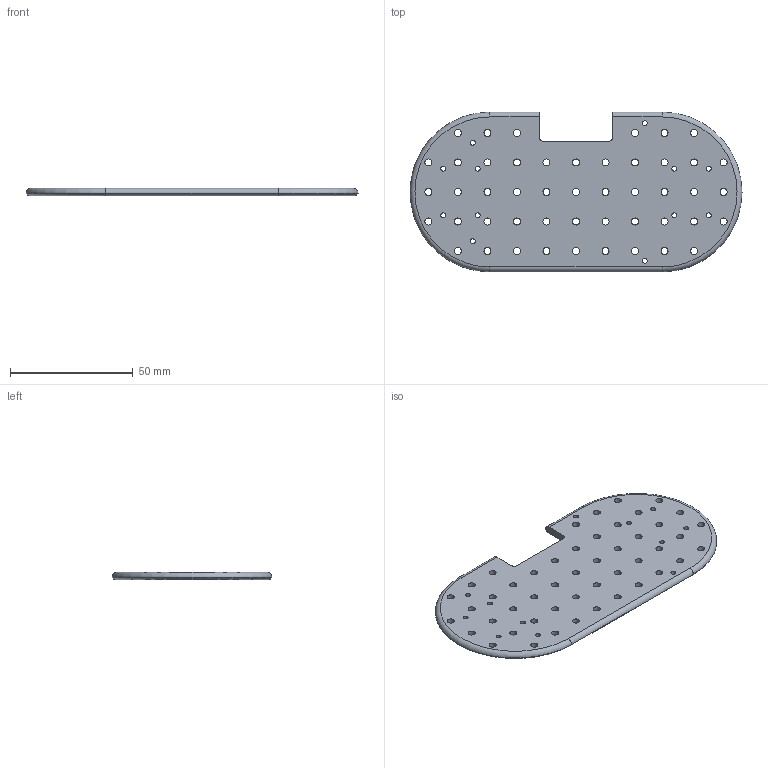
import cadquery as cq
import math

LENGTH = 135.0
WIDTH = 65.0
THICKNESS = 3.0
EDGE_RADIUS = 2.0
END_RADIUS = WIDTH / 2
END_CENTER_X = LENGTH / 2 - END_RADIUS

NOTCH_WIDTH = 30.0
NOTCH_FLOOR_Y = 20.5
NOTCH_CORNER_RADIUS = 2.0

GRID_HOLE_DIAMETER = 2.85
GRID_PITCH = 12.0
OUTERMOST_ROW = 2
OUTERMOST_COLUMN = 5

SMALL_HOLE_DIAMETER = 2.0
GROUP_INNER_X = 40.0
GROUP_OUTER_X = 54.0
GROUP_Y = 9.5
LEFT_PAIR_X = -42.0
LEFT_PAIR_Y = 20.0
RIGHT_PAIR_X = 28.0
RIGHT_PAIR_Y = 28.0


def half_section(plane):
    """Plate section from the centre line out to the rounded edge at END_RADIUS.

    The upper arc is a full quarter round. The lower arc has the same radius, starts
    tangent to the underside and meets the upper arc at a blunt ridge.
    """
    ridge_height = THICKNESS - EDGE_RADIUS
    top_inset = EDGE_RADIUS * (1 - math.sqrt(0.5))
    ridge_angle = math.acos((EDGE_RADIUS - ridge_height) / EDGE_RADIUS)
    mid_angle = ridge_angle / 2
    underside_end = END_RADIUS - EDGE_RADIUS * math.sin(ridge_angle)
    lower_mid_x = underside_end + EDGE_RADIUS * math.sin(mid_angle)
    lower_mid_z = EDGE_RADIUS * (1 - math.cos(mid_angle))
    return (
        cq.Workplane(plane)
        .lineTo(underside_end, 0)
        .threePointArc((lower_mid_x, lower_mid_z), (END_RADIUS, ridge_height))
        .threePointArc(
            (END_RADIUS - top_inset, THICKNESS - top_inset),
            (END_RADIUS - EDGE_RADIUS, THICKNESS),
        )
        .lineTo(0, THICKNESS)
        .close()
    )


def make_plate():
    """Straight middle with a half-round end on each side."""
    half_middle = half_section("YZ").extrude(END_CENTER_X, both=True)
    middle = half_middle.union(half_middle.mirror("XZ"))
    right_end = half_section("YZ").revolve(180, (0, 0), (0, -1))
    left_end = right_end.mirror("YZ")
    return (
        middle
        .union(right_end.translate((END_CENTER_X, 0, 0)))
        .union(left_end.translate((-END_CENTER_X, 0, 0)))
    )


def make_notch():
    """Rectangular cutter with rounded inner corners, reaching past the +Y edge."""
    depth = WIDTH / 2 - NOTCH_FLOOR_Y
    cutter_length = 2 * depth
    return (
        cq.Workplane("XY")
        .center(0, NOTCH_FLOOR_Y + cutter_length / 2)
        .rect(NOTCH_WIDTH, cutter_length)
        .extrude(THICKNESS)
        .edges("|Z and <Y")
        .fillet(NOTCH_CORNER_RADIUS)
    )


def grid_points():
    """Grid hole centres, leaving out those that would fall in the notch."""
    points = []
    for row in range(-OUTERMOST_ROW, OUTERMOST_ROW + 1):
        is_end_row = abs(row) == OUTERMOST_ROW
        last_column = OUTERMOST_COLUMN - 1 if is_end_row else OUTERMOST_COLUMN
        for column in range(-last_column, last_column + 1):
            x = column * GRID_PITCH
            y = row * GRID_PITCH
            in_notch = abs(x) < NOTCH_WIDTH / 2 and y > NOTCH_FLOOR_Y
            if not in_notch:
                points.append((x, y))
    return points


def small_hole_points():
    """Small hole centres on both sides of the X axis."""
    upper = [(LEFT_PAIR_X, LEFT_PAIR_Y), (RIGHT_PAIR_X, RIGHT_PAIR_Y)]
    for x in (GROUP_INNER_X, GROUP_OUTER_X):
        upper += [(-x, GROUP_Y), (x, GROUP_Y)]
    return upper + [(x, -y) for x, y in upper]


def make_holes(points, diameter):
    """Cylinders through the full thickness at the given centres."""
    return cq.Workplane("XY").pushPoints(points).circle(diameter / 2).extrude(THICKNESS)


result = (
    make_plate()
    .cut(make_notch())
    .cut(make_holes(grid_points(), GRID_HOLE_DIAMETER))
    .cut(make_holes(small_hole_points(), SMALL_HOLE_DIAMETER))
)